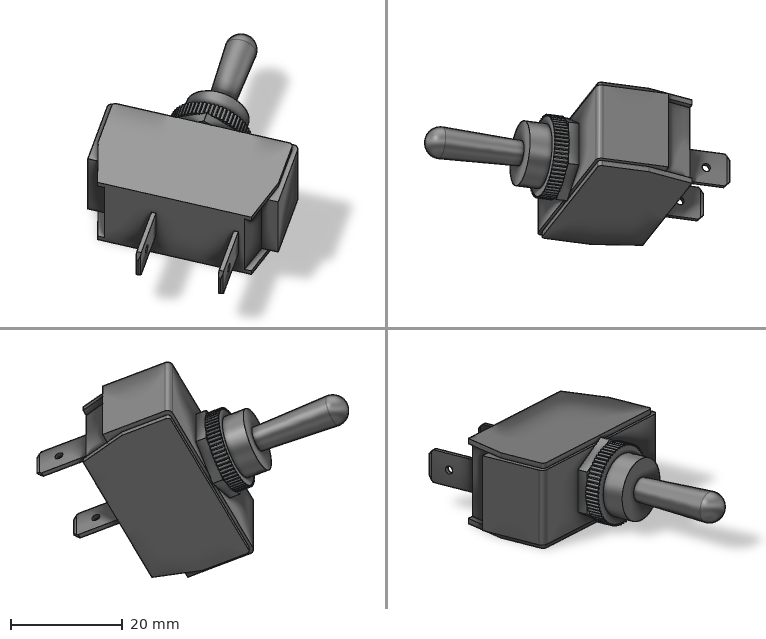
import cadquery as cq
import math


case_width = 35.45
case_height = 16.35
case_depth = 18.85
plate_thickness = 1.0
core_height = case_height - 2 * plate_thickness
ear_depth = 13.35
core_width_at_ears = 29.3
core_width_at_back = 26.05
ear_corner_radius = 1.0

plate_width = 33.55
plate_back_width = 28.65
plate_front_inset = 0.55
plate_straight_depth = 9.95
plate_corner_radius = 0.65

hex_across_flats = 14.05
hex_length = 2.0
nut_diameter = 15.1
nut_length = 2.7
tooth_count = 60
tooth_depth = 0.3
tooth_share = 0.7
bushing_diameter = 11.75
bushing_length = 4.15
nut_start = hex_length
bushing_start = nut_start + nut_length
lever_start = bushing_start + bushing_length

lever_base_diameter = 4.6
lever_tip_diameter = 5.75
lever_length = 17.8
dome_height = lever_tip_diameter / 2

terminal_positions = (-3.85, 11.45)
terminal_thickness = 0.85
terminal_width = 6.25
terminal_length = 10.45
terminal_corner = 1.05
terminal_tip_thickness = 0.3
terminal_bevel_length = 0.65
terminal_hole_diameter = 1.5
terminal_hole_from_tip = 4.55


def cross_section_at(y):
    """Plane at the given y that extrudes along +Y, with its own first axis along Z."""
    return cq.Workplane(cq.Plane(origin=(0, y, 0), xDir=(0, 0, 1), normal=(0, 1, 0)))


def make_core():
    """Inner block: full-width ears in front, a tapered tail behind them."""
    half_ear = case_width / 2
    half_tail_front = core_width_at_ears / 2
    half_tail_back = core_width_at_back / 2
    outline = [
        (-half_ear, 0),
        (half_ear, 0),
        (half_ear, -ear_depth),
        (half_tail_front, -ear_depth),
        (half_tail_back, -case_depth),
        (-half_tail_back, -case_depth),
        (-half_tail_front, -ear_depth),
        (-half_ear, -ear_depth),
    ]
    core = cq.Workplane("XY").polyline(outline).close().extrude(core_height / 2, both=True)
    return core.edges("|Z and >Y").fillet(ear_corner_radius)


def make_plate(bottom):
    """Side plate whose lower face is at Z = bottom."""
    half_front = plate_width / 2
    half_back = plate_back_width / 2
    outline = [
        (-half_front, -plate_front_inset),
        (half_front, -plate_front_inset),
        (half_front, -plate_straight_depth),
        (half_back, -case_depth),
        (-half_back, -case_depth),
        (-half_front, -plate_straight_depth),
    ]
    plate = cq.Workplane("XY", origin=(0, 0, bottom)).polyline(outline).close().extrude(plate_thickness)
    return plate.edges("|Z and >Y").fillet(plate_corner_radius)


def make_hex_collar():
    """Hexagonal collar with two corners on the Z axis."""
    across_corners = hex_across_flats / math.cos(math.pi / 6)
    return cross_section_at(0).polygon(6, across_corners).extrude(hex_length)


def make_knurled_nut():
    """Round nut whose rim is a ring of rounded teeth with narrow flat roots between them."""
    crest_radius = nut_diameter / 2
    root_radius = crest_radius - tooth_depth
    pitch = 2 * math.pi / tooth_count
    half_tooth = pitch * tooth_share / 2

    def rim_point(radius, angle):
        return radius * math.cos(angle), radius * math.sin(angle)

    first_tooth = pitch / 2
    outline = cross_section_at(nut_start).moveTo(*rim_point(root_radius, first_tooth - half_tooth))
    for tooth in range(tooth_count):
        middle = first_tooth + tooth * pitch
        crest = rim_point(crest_radius, middle)
        tooth_end = rim_point(root_radius, middle + half_tooth)
        outline = outline.threePointArc(crest, tooth_end)
        if tooth < tooth_count - 1:
            outline = outline.lineTo(*rim_point(root_radius, middle + pitch - half_tooth))
    return outline.close().extrude(nut_length)


def make_bushing():
    return cross_section_at(bushing_start).circle(bushing_diameter / 2).extrude(bushing_length)


def make_lever():
    """Tapered lever with a hemispherical tip, revolved about Y."""
    tip = lever_start + lever_length
    dome_start = tip - dome_height
    tip_radius = lever_tip_diameter / 2
    dome_middle = (tip_radius * math.sqrt(0.5), dome_start + dome_height * math.sqrt(0.5))
    return (
        cq.Workplane("XY")
        .moveTo(0, lever_start)
        .lineTo(lever_base_diameter / 2, lever_start)
        .lineTo(tip_radius, dome_start)
        .threePointArc(dome_middle, (0, tip))
        .close()
        .revolve(360, (0, 0, 0), (0, 1, 0))
    )


def make_terminal(x):
    """Blade terminal centred on x, with cut corners, a bevelled tip and a cross hole."""
    tip = -case_depth - terminal_length
    half_thickness = terminal_thickness / 2
    half_tip = terminal_tip_thickness / 2
    bevel_start = tip + terminal_bevel_length
    profile = [
        (x - half_thickness, -case_depth),
        (x - half_thickness, bevel_start),
        (x - half_tip, tip),
        (x + half_tip, tip),
        (x + half_thickness, bevel_start),
        (x + half_thickness, -case_depth),
    ]
    bevelled = cq.Workplane("XY").polyline(profile).close().extrude(terminal_width / 2, both=True)

    half_width = terminal_width / 2
    half_end = half_width - terminal_corner
    corner_start = tip + terminal_corner
    face = [
        (-case_depth, -half_width),
        (corner_start, -half_width),
        (tip, -half_end),
        (tip, half_end),
        (corner_start, half_width),
        (-case_depth, half_width),
    ]
    side = cq.Workplane("YZ", origin=(x, 0, 0))
    blade = side.polyline(face).close().extrude(terminal_thickness, both=True)
    hole = (
        side.center(tip + terminal_hole_from_tip, 0)
        .circle(terminal_hole_diameter / 2)
        .extrude(terminal_thickness, both=True)
    )
    return bevelled.intersect(blade).cut(hole)


result = make_core()
for plate_bottom in (core_height / 2, -case_height / 2):
    result = result.union(make_plate(plate_bottom))
for section in (make_hex_collar(), make_knurled_nut(), make_bushing(), make_lever()):
    result = result.union(section)
for terminal_x in terminal_positions:
    result = result.union(make_terminal(terminal_x))